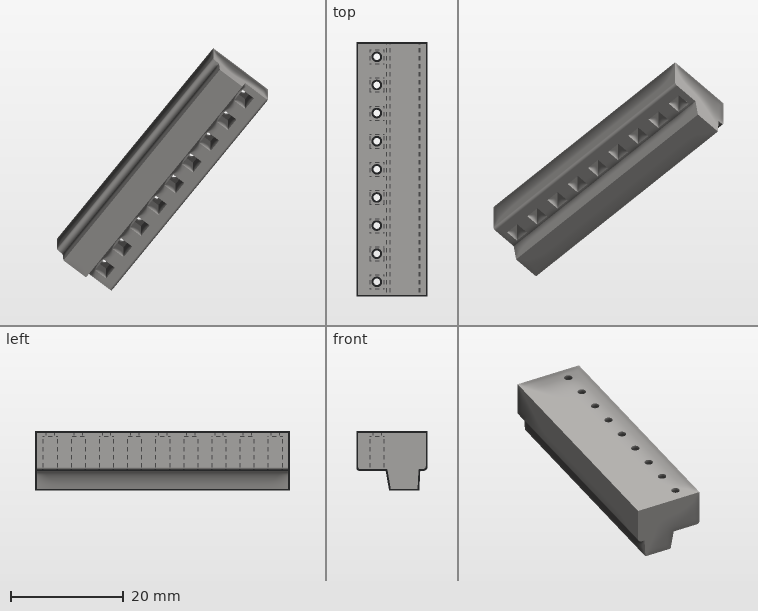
import cadquery as cq
import math

WIDTH = 12.4
LENGTH = 45.0
HEIGHT = 10.3
HEAD_HEIGHT = 6.8
SHOULDER_Z = HEIGHT - HEAD_HEIGHT
LEFT_EDGE_RADIUS = 0.5
RIGHT_EDGE_RADIUS = 0.7

TONGUE_ROOT_LEFT = 5.2
TONGUE_ROOT_RIGHT = 11.1
LEFT_TAPER_ANGLE = 10.0
RIGHT_TAPER_ANGLE = 3.0

CELL_COUNT = 9
CELL_PITCH = LENGTH / CELL_COUNT
CELL_X = 3.5
HOLE_DIAMETER = 1.5
TOP_WALL = 0.8
POCKET_SIDE = 2.5


def make_body():
    """Extrude the head-and-tongue section along Y, centred on Y = 0, with its tip at Z = 0."""
    tongue_tip_left = TONGUE_ROOT_LEFT + SHOULDER_Z * math.tan(math.radians(LEFT_TAPER_ANGLE))
    tongue_tip_right = TONGUE_ROOT_RIGHT - SHOULDER_Z * math.tan(math.radians(RIGHT_TAPER_ANGLE))
    outline = [
        (0, HEIGHT),
        (0, SHOULDER_Z),
        (TONGUE_ROOT_LEFT, SHOULDER_Z),
        (tongue_tip_left, 0),
        (tongue_tip_right, 0),
        (TONGUE_ROOT_RIGHT, SHOULDER_Z),
        (WIDTH, SHOULDER_Z),
        (WIDTH, HEIGHT),
    ]
    body = cq.Workplane("XZ").polyline(outline).close().extrude(LENGTH / 2, both=True)
    body = round_lower_edge(body, 0, LEFT_EDGE_RADIUS)
    return round_lower_edge(body, WIDTH, RIGHT_EDGE_RADIUS)


def round_lower_edge(body, x, radius):
    """Fillet the lengthwise edge of the head that lies at this X, level with the shoulder."""
    edge = cq.selectors.NearestToPointSelector((x, 0, SHOULDER_Z))
    return body.edges(edge).fillet(radius)


def cell_centres(z):
    """A workplane at height z with one point at the centre of each cell."""
    plane = cq.Workplane("XY", origin=(CELL_X, 0, z))
    return plane.rarray(1, CELL_PITCH, 1, CELL_COUNT)


def make_holes():
    """Round holes running down from the top face to the pockets."""
    return cell_centres(HEIGHT).circle(HOLE_DIAMETER / 2).extrude(-TOP_WALL)


def make_pockets():
    """Square pockets rising from the shoulder to the underside of the top wall."""
    pocket_depth = HEAD_HEIGHT - TOP_WALL
    return cell_centres(SHOULDER_Z).rect(POCKET_SIDE, POCKET_SIDE).extrude(pocket_depth)


result = make_body().cut(make_pockets()).cut(make_holes())